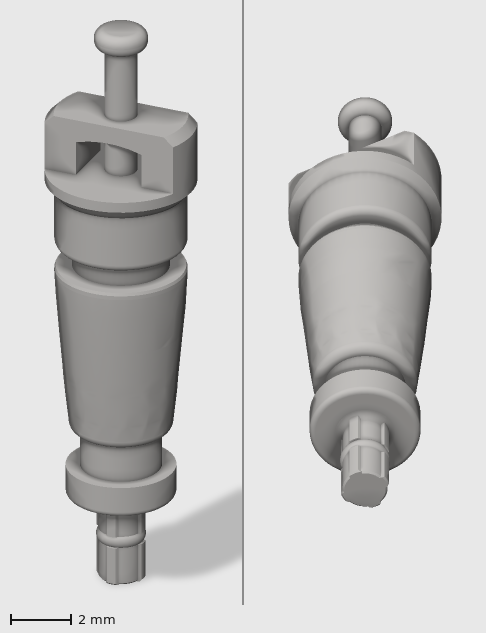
import cadquery as cq
import math

pin_top = 20.3
head_bottom = 19.57
bridge_top = 17.11
flange_top = 15.08
flange_cone_top = 14.72
flange_cone_bottom = 14.35
collar_bottom = 12.32
taper_top = 11.55
rim_top = 11.45
rim_bottom = 11.3
taper_break = 9.2
taper_end = 5.8
taper_bottom = 5.48
disk_top = 4.15
disk_bottom = 3.05
ring_top = 1.79
ring_bottom = 1.38

pin_radius = 1.1 / 2
head_radius = 1.8 / 2
flange_radius = 5.1 / 2
collar_radius = 4.45 / 2
upper_neck_radius = 3.27 / 2
rim_radius = 4.45 / 2
taper_top_radius = 4.36 / 2
taper_upper_mid_radius = 2.17
taper_break_radius = 2.07
taper_lower_mid_radius = 1.93
taper_end_radius = 1.75
lower_neck_radius = 2.75 / 2
disk_radius = 3.7 / 2
tip_radius = 0.75
tip_outer_radius = 0.83

head_round = 0.32
bridge_chamfer = 0.3
collar_round = 0.25
taper_round = 0.32
disk_round = 0.18
tip_root_round = 0.25
tip_chamfer = 0.06

bridge_width = 2.03
window_width = 2.4
window_side_top = 16.3
window_arch_top = 16.48
rib_count = 4
rib_base_width = 0.45
rib_crest_width = 0.3


def cylinder(radius, bottom, top):
    return cq.Workplane("XY").workplane(offset=bottom).circle(radius).extrude(top - bottom)


def make_pin():
    shaft = cylinder(pin_radius, flange_top, pin_top)
    head = cylinder(head_radius, head_bottom, pin_top).edges().fillet(head_round)
    return shaft.union(head)


def make_bridge():
    """Flat-sided bridge with rounded ends and an arched window through it."""
    height = bridge_top - flange_cone_top
    bridge = cylinder(flange_radius, flange_cone_top, bridge_top).faces(">Z").chamfer(bridge_chamfer)
    slab = cq.Workplane("XY").box(2 * flange_radius, bridge_width, height, centered=(True, True, False))
    bridge = bridge.intersect(slab.translate((0, 0, flange_cone_top)))
    half_window = window_width / 2
    window = (
        cq.Workplane("XZ")
        .moveTo(-half_window, flange_top)
        .lineTo(half_window, flange_top)
        .lineTo(half_window, window_side_top)
        .threePointArc((0, window_arch_top), (-half_window, window_side_top))
        .close()
        .extrude(bridge_width, both=True)
    )
    return bridge.cut(window)


def make_collar():
    """Flange with a conical underside on a collar rounded at its lower edge."""
    flange = cylinder(flange_radius, flange_cone_bottom, flange_top)
    flange = flange.faces("<Z").chamfer(flange_cone_top - flange_cone_bottom, flange_radius - collar_radius)
    collar = cylinder(collar_radius, collar_bottom, flange_top).faces("<Z").edges().fillet(collar_round)
    return flange.union(collar)


def make_taper():
    """Gently curved sleeve with a narrow rim at its upper end."""
    upper_mid = (rim_bottom + taper_break) / 2
    lower_mid = (taper_break + taper_end) / 2
    profile = (
        cq.Workplane("XZ")
        .moveTo(0, taper_bottom)
        .lineTo(taper_end_radius - taper_round, taper_bottom)
        .radiusArc((taper_end_radius, taper_end), -taper_round)
        .threePointArc((taper_lower_mid_radius, lower_mid), (taper_break_radius, taper_break))
        .threePointArc((taper_upper_mid_radius, upper_mid), (rim_radius, rim_bottom))
        .lineTo(rim_radius, rim_top)
        .lineTo(taper_top_radius, taper_top)
        .lineTo(0, taper_top)
        .close()
    )
    return profile.revolve(360, (0, 0, 0), (0, 1, 0))


def make_tip():
    """Tip with tapered ribs, a convex ring and a rounded root under the disk."""
    root_bottom = disk_bottom - tip_root_round
    profile = (
        cq.Workplane("XZ")
        .lineTo(tip_radius - tip_chamfer, 0)
        .lineTo(tip_radius, tip_chamfer)
        .lineTo(tip_radius, ring_bottom)
        .threePointArc((tip_outer_radius, (ring_bottom + ring_top) / 2), (tip_radius, ring_top))
        .lineTo(tip_radius, root_bottom)
        .radiusArc((tip_radius + tip_root_round, disk_bottom), tip_root_round)
        .lineTo(0, disk_bottom)
        .close()
    )
    tip = profile.revolve(360, (0, 0, 0), (0, 1, 0))
    rib_base_radius = math.sqrt(tip_radius**2 - (rib_base_width / 2) ** 2)
    rib_envelope = cylinder(tip_outer_radius, 0, disk_bottom).faces("<Z").chamfer(tip_chamfer)
    rib_wedge = (
        cq.Workplane("XY")
        .lineTo(0, -rib_base_width / 2)
        .lineTo(rib_base_radius, -rib_base_width / 2)
        .lineTo(tip_outer_radius, -rib_crest_width / 2)
        .lineTo(tip_outer_radius, rib_crest_width / 2)
        .lineTo(rib_base_radius, rib_base_width / 2)
        .lineTo(0, rib_base_width / 2)
        .close()
        .extrude(disk_bottom)
    )
    ring_gap = cylinder(flange_radius, ring_bottom, ring_top)
    rib = rib_envelope.intersect(rib_wedge).cut(ring_gap)
    for index in range(rib_count):
        tip = tip.union(rib.rotate((0, 0, 0), (0, 0, 1), index * 360 / rib_count))
    return tip


upper_neck = cylinder(upper_neck_radius, taper_top, collar_bottom)
lower_neck = cylinder(lower_neck_radius, disk_top, taper_bottom)
disk = cylinder(disk_radius, disk_bottom, disk_top).faces("<Z").edges().fillet(disk_round)

result = (
    make_collar()
    .union(make_bridge())
    .union(make_pin())
    .union(upper_neck)
    .union(make_taper())
    .union(lower_neck)
    .union(disk)
    .union(make_tip())
)